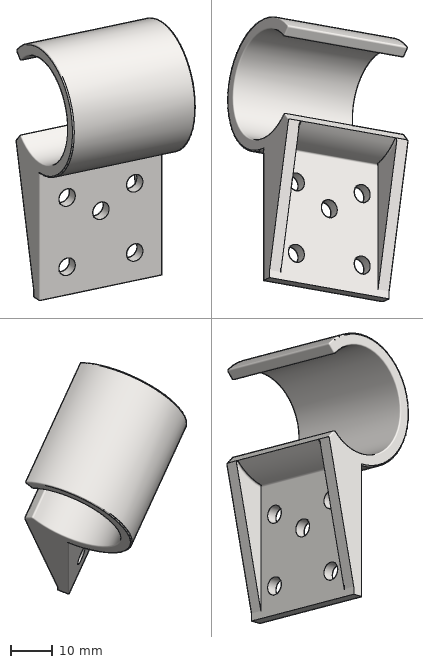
import cadquery as cq
import math

total_height = 66.0
width = 34.05
outer_radius = 16.5
wall = 3.0
rib_width = 3.2
rib_foot_height = 1.85
end_radius = 0.3
mouth_radius = 0.45
pocket_radius = 0.45
mouth_half_angle = 45.0

hole_diameter = 4.5
hole_spread = 9.4
lower_hole_height = 7.3
centre_hole_height = 20.05
upper_hole_height = 25.35

inner_radius = outer_radius - wall
base_z = outer_radius - total_height
half_width = width / 2
selection_margin = 0.05


def mouth_point(radius, side):
    """Point on an end face of the ring; side is +1 for the upper end, -1 for the lower."""
    angle = math.radians(mouth_half_angle)
    return (-radius * math.cos(angle), side * radius * math.sin(angle))


def mouth_arc_middle():
    """Middle of the outer arc between the lower mouth end and the ring's lowest point."""
    angle = math.radians((90 + mouth_half_angle) / 2)
    return (-outer_radius * math.cos(angle), -outer_radius * math.sin(angle))


def extrude_profile(sketch, length):
    return sketch.extrude(length / 2, both=True)


def make_ring():
    profile = (
        cq.Workplane("XZ")
        .moveTo(*mouth_point(outer_radius, 1))
        .threePointArc((outer_radius, 0), mouth_point(outer_radius, -1))
        .lineTo(*mouth_point(inner_radius, -1))
        .threePointArc((inner_radius, 0), mouth_point(inner_radius, 1))
        .close()
    )
    return extrude_profile(profile, width)


def make_bracket():
    """Plate and ribs below the ring, with the pocket between the ribs removed."""
    profile = (
        cq.Workplane("XZ")
        .moveTo(*mouth_point(outer_radius, -1))
        .lineTo(-wall, base_z + rib_foot_height)
        .lineTo(-wall, base_z)
        .lineTo(0, base_z)
        .lineTo(0, -outer_radius)
        .threePointArc(mouth_arc_middle(), mouth_point(outer_radius, -1))
        .close()
    )
    pocket = (
        cq.Workplane("XY")
        .box(outer_radius, width - 2 * rib_width, total_height, centered=(False, True, False))
        .translate((-wall - outer_radius, 0, base_z))
    )
    return extrude_profile(profile, width).cut(pocket)


def edges_near(body, x, y, z):
    """Edges whose centre lies at the given point."""
    m = selection_margin
    return body.edges(cq.selectors.BoxSelector((x - m, y - m, z - m), (x + m, y + m, z + m)))


def round_mouth(body):
    """Round the mouth lips; the lower outer lip stays sharp where it meets the ribs."""
    edges = body.newObject([])
    for radius, side in ((outer_radius, 1), (inner_radius, 1), (inner_radius, -1)):
        x, z = mouth_point(radius, side)
        edges = edges.add(edges_near(body, x, 0, z))
    return edges.fillet(mouth_radius)


def round_ends(body):
    """Round the ring arcs, mouth ends and back edge of the plate on both end faces."""
    edges = body.newObject([])
    for y in (-half_width, half_width):
        rim = body.faces("<Y" if y < 0 else ">Y").edges()
        edges = edges.add(rim.edges("%CIRCLE"))
        edges = edges.add(edges_near(body, 0, y, (base_z - outer_radius) / 2))
        for side, shift in ((1, 0), (-1, mouth_radius / 2)):
            x, z = mouth_point((outer_radius + inner_radius) / 2 + shift, side)
            edges = edges.add(edges_near(body, x, y, z))
    return edges.fillet(end_radius)


def round_pocket_top(body):
    """Concave fillets where the ring meets the plate and the ribs inside the pocket."""
    half_pocket = half_width - rib_width
    top = cq.selectors.BoxSelector(
        (-outer_radius, -half_pocket - selection_margin, -outer_radius),
        (-wall + selection_margin, half_pocket + selection_margin, -outer_radius / 2),
    )
    pocket_roof = cq.selectors.BoxSelector(
        (-outer_radius, -selection_margin, -outer_radius), (-wall, selection_margin, -inner_radius)
    )
    return body.faces(pocket_roof).edges(top).edges("%CIRCLE or >X").fillet(pocket_radius)


def make_holes():
    holes = [(0, centre_hole_height)]
    for y in (-hole_spread, hole_spread):
        holes += [(y, lower_hole_height), (y, upper_hole_height)]
    return (
        cq.Workplane("YZ", origin=(0, 0, base_z))
        .pushPoints(holes)
        .circle(hole_diameter / 2)
        .extrude(-wall)
    )


blank = make_ring().union(make_bracket())
result = round_ends(round_mouth(round_pocket_top(blank))).cut(make_holes())